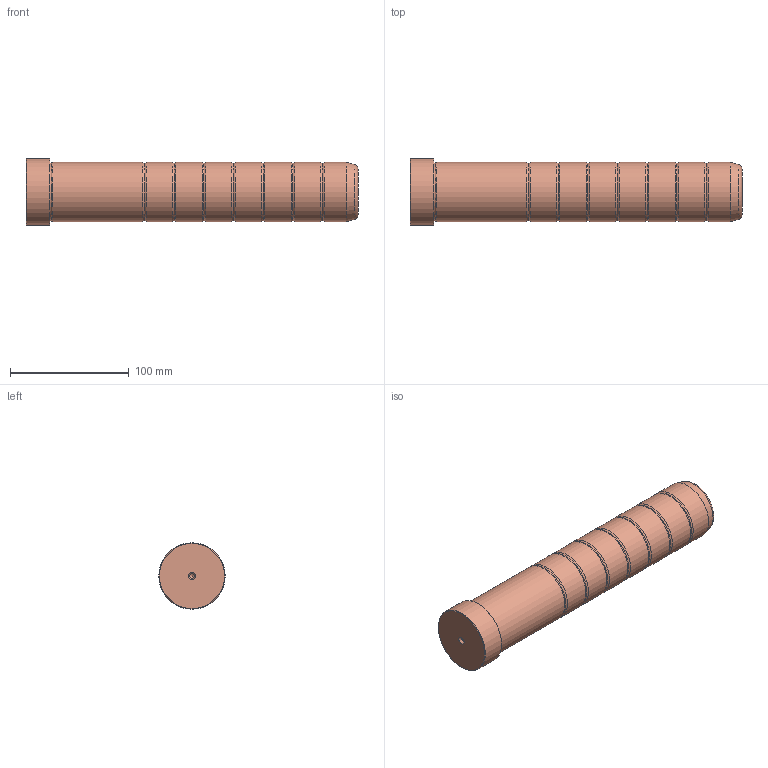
import cadquery as cq
import math

TOTAL_LENGTH = 280.0
HEAD_DIAMETER = 56.0
HEAD_LENGTH = 20.0
HEAD_CHAMFER = 0.5
SHAFT_DIAMETER = 50.0

RELIEF_DEPTH = 0.5
RELIEF_FLAT_LENGTH = 1.2
RELIEF_RAMP_LENGTH = 0.8

GROOVE_COUNT = 7
GROOVE_PITCH = 25.0
FIRST_GROOVE_X = 100.0
GROOVE_WIDTH = 3.0
GROOVE_DEPTH = 0.6

LEAD_LENGTH = 10.0
LEAD_ANGLE = 15.0
NOSE_RADIUS = 4.0

CENTRE_MOUTH_DIAMETER = 6.5
CENTRE_DRILL_DIAMETER = 3.7
CENTRE_CONE_ANGLE = 60.0
CENTRE_DRILL_DEPTH = 7.0
DRILL_POINT_ANGLE = 120.0

HEAD_RADIUS = HEAD_DIAMETER / 2
SHAFT_RADIUS = SHAFT_DIAMETER / 2


def revolve_about_x(profile):
    """Turn a closed profile, drawn as X and radius, around the X axis."""
    return profile.close().revolve(360, (0, 0, 0), (1, 0, 0))


def make_body():
    """Chamfered head, relief, shaft and rounded lead-in, turned as one piece."""
    relief_radius = SHAFT_RADIUS - RELIEF_DEPTH
    relief_flat_end = HEAD_LENGTH + RELIEF_FLAT_LENGTH
    relief_end = relief_flat_end + RELIEF_RAMP_LENGTH
    lead_start = TOTAL_LENGTH - LEAD_LENGTH

    slope = math.radians(LEAD_ANGLE)
    arc_centre_x = TOTAL_LENGTH - NOSE_RADIUS
    arc_start_x = arc_centre_x + NOSE_RADIUS * math.sin(slope)
    arc_start_radius = SHAFT_RADIUS - (arc_start_x - lead_start) * math.tan(slope)
    arc_centre_radius = arc_start_radius - NOSE_RADIUS * math.cos(slope)
    arc_middle_angle = (math.pi / 2 - slope) / 2
    arc_middle = (
        arc_centre_x + NOSE_RADIUS * math.cos(arc_middle_angle),
        arc_centre_radius + NOSE_RADIUS * math.sin(arc_middle_angle),
    )

    profile = (
        cq.Workplane("XY")
        .moveTo(0, 0)
        .lineTo(0, HEAD_RADIUS - HEAD_CHAMFER)
        .lineTo(HEAD_CHAMFER, HEAD_RADIUS)
        .lineTo(HEAD_LENGTH, HEAD_RADIUS)
        .lineTo(HEAD_LENGTH, relief_radius)
        .lineTo(relief_flat_end, relief_radius)
        .lineTo(relief_end, SHAFT_RADIUS)
        .lineTo(lead_start, SHAFT_RADIUS)
        .lineTo(arc_start_x, arc_start_radius)
        .threePointArc(arc_middle, (TOTAL_LENGTH, arc_centre_radius))
        .lineTo(TOTAL_LENGTH, 0)
    )
    return revolve_about_x(profile)


def make_groove(centre_x):
    """Ring-shaped cutter for one V groove."""
    profile = (
        cq.Workplane("XY")
        .moveTo(centre_x - GROOVE_WIDTH / 2, SHAFT_RADIUS)
        .lineTo(centre_x, SHAFT_RADIUS - GROOVE_DEPTH)
        .lineTo(centre_x + GROOVE_WIDTH / 2, SHAFT_RADIUS)
        .lineTo(centre_x + GROOVE_WIDTH / 2, HEAD_RADIUS)
        .lineTo(centre_x - GROOVE_WIDTH / 2, HEAD_RADIUS)
    )
    return revolve_about_x(profile)


def make_centre_hole():
    """Cutter for the conical centre hole, ending in a drill point."""
    mouth_radius = CENTRE_MOUTH_DIAMETER / 2
    drill_radius = CENTRE_DRILL_DIAMETER / 2
    cone_depth = (mouth_radius - drill_radius) / math.tan(math.radians(CENTRE_CONE_ANGLE / 2))
    point_length = drill_radius / math.tan(math.radians(DRILL_POINT_ANGLE / 2))
    profile = (
        cq.Workplane("XY")
        .moveTo(0, 0)
        .lineTo(0, mouth_radius)
        .lineTo(cone_depth, drill_radius)
        .lineTo(CENTRE_DRILL_DEPTH, drill_radius)
        .lineTo(CENTRE_DRILL_DEPTH + point_length, 0)
    )
    return revolve_about_x(profile)


result = make_body().cut(make_centre_hole())
for index in range(GROOVE_COUNT):
    result = result.cut(make_groove(FIRST_GROOVE_X + index * GROOVE_PITCH))